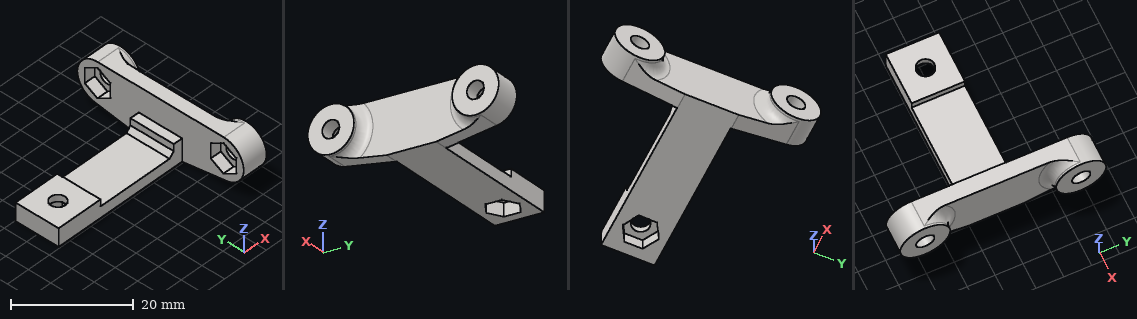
import cadquery as cq
import math

plate_back_x = 29.5
plate_thickness = 3.0
boss_height = 5.5
boss_radius = 4.5
boss_spacing = 28.0
boss_center_z = 6.0
boss_fillet = 2.0

screw_diameter = 3.3
nut_corner_diameter = 6.5
plate_nut_depth = 2.4
pad_nut_depth = 2.5

nut_side_wall = 2.0
arm_thickness = 2.5
pad_length = 10.0
pad_height = 4.0
shoulder_length = 2.0
shoulder_height = 5.0
shoulder_chamfer = 1.0
pad_screw_diameter = 3.2
pad_screw_x = 5.0

boss_y = boss_spacing / 2
nut_across_flats = nut_corner_diameter * math.cos(math.radians(30))
half_width = nut_across_flats / 2 + nut_side_wall
plate_front_x = plate_back_x + plate_thickness
boss_centers = [(-boss_y, boss_center_z), (boss_y, boss_center_z)]
plate_top_z = boss_center_z + boss_radius

taper_run = boss_y - half_width
taper_angle = math.atan2(boss_center_z, taper_run) - math.asin(boss_radius / math.hypot(taper_run, boss_center_z))
tangent_y = boss_y + boss_radius * math.sin(taper_angle)
tangent_z = boss_center_z - boss_radius * math.cos(taper_angle)


def yz_plane(x):
    """Sketch plane at the given X, with local axes Y and Z and normal +X."""
    return cq.Workplane("YZ", origin=(x, 0, 0))


def make_plate():
    """Flat-topped plate with round ends, tapering tangentially to the arm's bottom edges."""
    return (
        yz_plane(plate_back_x)
        .moveTo(-half_width, 0)
        .lineTo(half_width, 0)
        .lineTo(tangent_y, tangent_z)
        .threePointArc((boss_y + boss_radius, boss_center_z), (boss_y, plate_top_z))
        .lineTo(-boss_y, plate_top_z)
        .threePointArc((-boss_y - boss_radius, boss_center_z), (-tangent_y, tangent_z))
        .close()
        .extrude(plate_thickness)
    )


def make_bosses():
    return yz_plane(plate_back_x).pushPoints(boss_centers).circle(boss_radius).extrude(boss_height)


def make_flare(center_y):
    """Concave quarter-circle fillet, turned all the way around the foot of one boss."""
    top_x = plate_front_x + boss_fillet
    outer_radius = boss_radius + boss_fillet
    arc_offset = boss_fillet * math.sqrt(0.5)
    return (
        cq.Workplane("XY")
        .moveTo(plate_back_x, 0)
        .lineTo(plate_back_x, outer_radius)
        .lineTo(plate_front_x, outer_radius)
        .threePointArc((top_x - arc_offset, outer_radius - arc_offset), (top_x, boss_radius))
        .lineTo(top_x, 0)
        .close()
        .revolve(360, (0, 0, 0), (1, 0, 0))
        .translate((0, center_y, boss_center_z))
    )


def make_flare_trim():
    """Straight-sided part of the plate outline between the bosses, where the flares are kept."""
    outline = [
        (-half_width, 0),
        (half_width, 0),
        (tangent_y, tangent_z),
        (boss_y, boss_center_z),
        (boss_y, plate_top_z),
        (-boss_y, plate_top_z),
        (-boss_y, boss_center_z),
        (-tangent_y, tangent_z),
    ]
    return yz_plane(plate_back_x).polyline(outline).close().extrude(boss_height)


def make_cross_plate():
    """Plate with two bosses, flared at the foot where the plate outline leaves room."""
    body = make_plate()
    for center_y, _ in boss_centers:
        body = body.union(make_flare(center_y).intersect(make_flare_trim()))
    return body.union(make_bosses())


def make_arm():
    """Arm with a raised end pad and a chamfer-footed shoulder against the plate."""
    shoulder_x = plate_back_x - shoulder_length
    return (
        cq.Workplane("XZ")
        .moveTo(0, 0)
        .lineTo(plate_front_x, 0)
        .lineTo(plate_front_x, shoulder_height)
        .lineTo(shoulder_x, shoulder_height)
        .lineTo(shoulder_x, arm_thickness + shoulder_chamfer)
        .lineTo(shoulder_x - shoulder_chamfer, arm_thickness)
        .lineTo(pad_length, arm_thickness)
        .lineTo(pad_length, pad_height)
        .lineTo(0, pad_height)
        .close()
        .extrude(half_width, both=True)
    )


def make_pad_hole():
    return cq.Workplane("XY").center(pad_screw_x, 0).circle(pad_screw_diameter / 2).extrude(pad_height)


def make_screw_holes():
    return yz_plane(plate_back_x).pushPoints(boss_centers).circle(screw_diameter / 2).extrude(boss_height)


def nut_prism(plane, depth):
    """Hexagonal prism rising from a sketch plane, with corners along the plane's local Y axis."""
    corner_radius = nut_corner_diameter / 2
    corners = []
    for index in range(6):
        angle = math.radians(90 + 60 * index)
        corners.append((corner_radius * math.cos(angle), corner_radius * math.sin(angle)))
    return plane.polyline(corners).close().extrude(depth)


def cut_nut_pockets(body):
    """Nut pockets in the back of the cross plate and in the underside of the pad."""
    for center_y, center_z in boss_centers:
        boss_plane = yz_plane(plate_back_x).center(center_y, center_z)
        body = body.cut(nut_prism(boss_plane, plate_nut_depth))
    pad_plane = cq.Workplane("XY").center(pad_screw_x, 0)
    return body.cut(nut_prism(pad_plane, pad_nut_depth))


result = make_cross_plate().union(make_arm()).cut(make_pad_hole()).cut(make_screw_holes())
result = cut_nut_pockets(result)